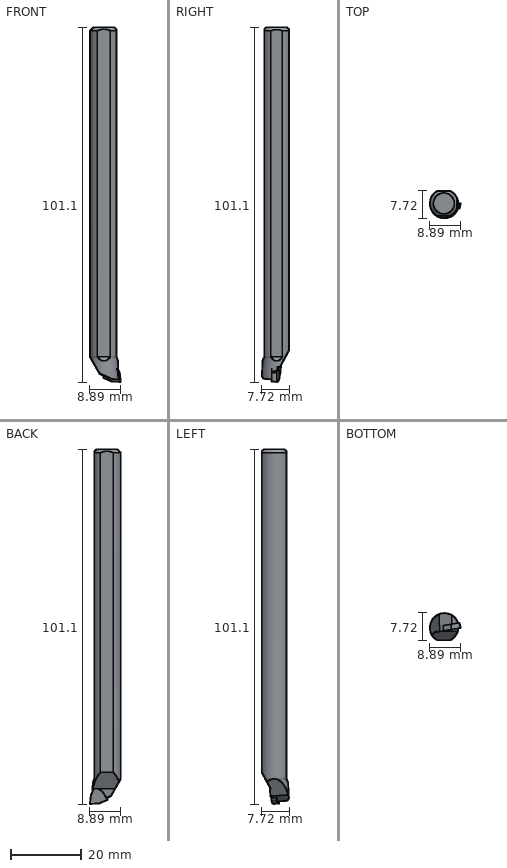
import cadquery as cq
import math

bar_length = 101.1
shank_radius = 3.99
side_flat = 3.6
face_flat = 3.5
end_chamfer = 1.0
head_height = 7.2
flat_runout = 1.0
head_tip_radius = 4.3

inscribed_radius = 1.98
corner_angle = 80.0
insert_thickness = 1.5
nose_radius = 0.2
clearance_angle = 5.0
rake_tilt = 10.0
tip_x = 4.9
tip_bisector = 137.0

back_top = (-shank_radius, head_height)
back_bottom = (-1.2, 2.3)
heel = (2.2, 0.7)
toe_z = 0.5
underside_lean = 3.0
chip_floor_top = 4.3
chip_ramp_top = 9.0
chip_ramp_foot_y = 1.0
margin = 10.1

corner_distance = inscribed_radius / math.sin(math.radians(corner_angle / 2))
knee_distance = inscribed_radius / math.sin(math.radians(corner_angle))
nose_distance = corner_distance - nose_radius / math.sin(math.radians(corner_angle / 2))
bisector = math.radians(tip_bisector)
center_x = tip_x - nose_radius + nose_distance * math.cos(bisector)
center_z = nose_radius + nose_distance * math.sin(bisector)


def tilt_to_rake(shape):
    """Turn a shape about the vertical line through the cutting tip."""
    return shape.rotate((tip_x, 0, 0), (tip_x, 0, 1), -rake_tilt)


def make_insert():
    points = []
    for i in range(6):
        distance = knee_distance if i % 2 else corner_distance
        angle = bisector + math.pi + i * math.pi / 3
        points.append((center_x + distance * math.cos(angle), center_z + distance * math.sin(angle)))
    outline = cq.Sketch().polygon(points + points[:1])
    plate = cq.Workplane("XZ").placeSketch(outline).extrude(insert_thickness, taper=clearance_angle)
    acute_reach = (corner_distance + knee_distance) / 2
    acute_corners = [
        edge for edge in plate.edges("not(#Y)").vals()
        if abs(edge.Center().y + insert_thickness / 2) < insert_thickness / 4
        and math.hypot(edge.Center().x - center_x, edge.Center().z - center_z) > acute_reach
    ]
    return tilt_to_rake(plate.newObject(acute_corners).fillet(nose_radius))


def make_blank():
    profile = [
        (0, 0),
        (head_tip_radius, 0),
        (shank_radius, head_height),
        (shank_radius, bar_length - end_chamfer),
        (shank_radius - end_chamfer, bar_length),
        (0, bar_length),
    ]
    return cq.Workplane("XZ").polyline(profile).close().revolve(360, (0, 0), (0, 1))


def flat_cutter(distance, angle):
    """Cutter for one flat, turned from the +X side; its lower end ramps out."""
    ramp_low = head_height - margin * flat_runout / (shank_radius - distance)
    profile = [
        (distance, head_height),
        (distance + margin, ramp_low),
        (distance + margin, bar_length),
        (distance, bar_length),
    ]
    cutter = cq.Workplane("XZ").polyline(profile).close().extrude(margin, both=True)
    return cutter.rotate((0, 0, 0), (0, 0, 1), angle)


def back_cutter():
    """Everything behind the sloping back of the head."""
    slope = (back_bottom[0] - back_top[0]) / (back_top[1] - back_bottom[1])
    low_x = back_bottom[0] + slope * (back_bottom[1] + margin)
    profile = [back_top, (low_x, -margin), (-margin, -margin), (-margin, head_height)]
    return cq.Workplane("XZ").polyline(profile).close().extrude(margin, both=True)


def underside_cutter():
    slope = (back_bottom[1] - heel[1]) / (heel[0] - back_bottom[0])
    left_z = heel[1] + slope * (heel[0] + margin)
    profile = [heel, (margin, toe_z), (margin, -margin), (-margin, -margin), (-margin, left_z)]
    cutter = cq.Workplane("XZ").polyline(profile).close().extrude(margin, both=True)
    return cutter.rotate((0, 0, heel[1]), (1, 0, heel[1]), -underside_lean)


def chip_floor_cutter():
    """Chip room on +Y with a floor flush with the tilted rake face."""
    profile = [(0, -margin), (0, chip_floor_top), (margin, chip_floor_top), (margin, -margin)]
    cutter = cq.Workplane("YZ").polyline(profile).close().extrude(2 * margin, both=True)
    return tilt_to_rake(cutter)


def chip_ramp_cutter():
    """Ramp from the chip room floor up to the +Y side of the shank."""
    slope = (chip_ramp_top - chip_floor_top) / (face_flat - chip_ramp_foot_y)
    profile = [
        (chip_ramp_foot_y, chip_floor_top),
        (margin, chip_floor_top + slope * (margin - chip_ramp_foot_y)),
        (margin, chip_floor_top),
    ]
    return cq.Workplane("YZ").polyline(profile).close().extrude(margin, both=True)


def make_bar(insert):
    bar = make_blank()
    for distance, angle in ((face_flat, -90), (side_flat, 0), (face_flat, 90)):
        bar = bar.cut(flat_cutter(distance, angle))
    bar = bar.cut(back_cutter()).cut(underside_cutter())
    bar = bar.cut(chip_floor_cutter()).cut(chip_ramp_cutter())
    return bar.cut(insert).solids()


insert = make_insert()
bar = make_bar(insert)
result = cq.Compound.makeCompound([bar.val(), insert.solids().val()])